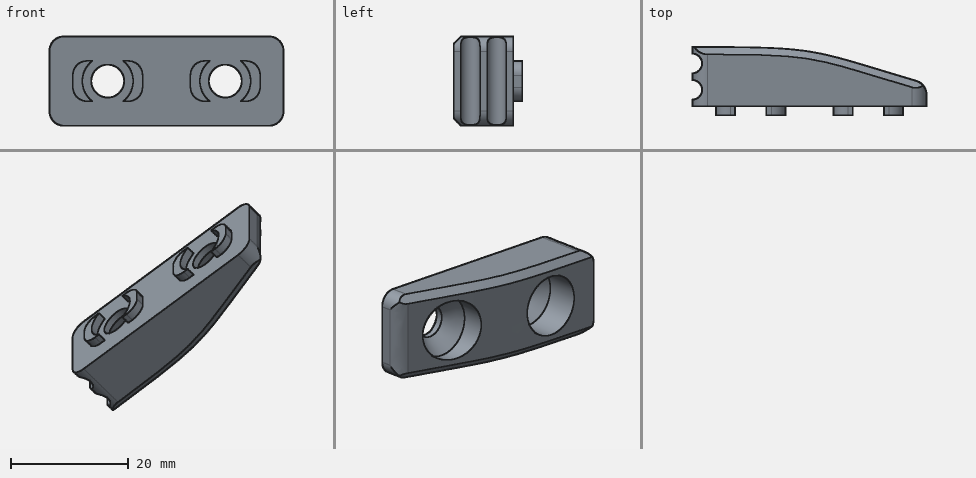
import cadquery as cq
import math

length = 39.88
width = 15.24
overall_depth = 11.68
butt_height = 10.16
corner_radius = 2.54
back_chamfer = 1.27
tip_radius = 2.54

tip_height = 3.85
butt_control = (22.5, 10.1)
tip_control = (19.35, 9.87)

groove_count = 2
groove_diameter = 3.3
groove_land = (butt_height - groove_count * groove_diameter) / (groove_count + 1)

screw_pitch = 20.0
bore_diameter = 5.56
head_diameter = 10.69
bore_depth = 1.27
countersink_angle = 82.0

lug_height = overall_depth - butt_height
lug_span = 11.85
lug_width = 6.86
lug_corner_radius = 2.4
lug_relief_diameter = 8.65

screw_positions = [(length / 2 + side * screw_pitch / 2, 0) for side in (-1, 1)]


def seat_plane(y):
    """Workplane at the given Y, with local axes along X and Z and its normal toward -Y."""
    return cq.Workplane("XZ", origin=(0, y, 0))


def make_wedge():
    butt_top = (0, butt_height)
    tip_top = (length, tip_height)
    wedge = (
        cq.Workplane("XY", origin=(0, 0, -width / 2))
        .lineTo(*butt_top)
        .bezier([butt_top, butt_control, tip_control, tip_top])
        .lineTo(length, 0)
        .close()
        .extrude(width)
    )
    back_edges = wedge.faces("<Z or >Z").edges("not(#X or #Y)")
    wedge = back_edges.chamfer(back_chamfer)
    tip_edge = cq.selectors.NearestToPointSelector((*tip_top, 0))
    return wedge.edges("|Z").edges(tip_edge).fillet(tip_radius)


def round_corners(body):
    outline = (
        seat_plane(0)
        .center(length / 2, 0)
        .rect(length, width)
        .extrude(-butt_height)
        .edges("|Y")
        .fillet(corner_radius)
    )
    return body.intersect(outline)


def cut_grooves(body):
    for index in range(groove_count):
        y = groove_land + groove_diameter / 2 + index * (groove_land + groove_diameter)
        groove = (
            cq.Workplane("XY", origin=(0, y, -width / 2))
            .circle(groove_diameter / 2)
            .extrude(width)
        )
        body = body.cut(groove)
    return body


def cut_screw_holes(body):
    """Stepped holes: a bore at the seat, a conical head seat, then head clearance out to the back."""
    bore_radius = bore_diameter / 2
    head_radius = head_diameter / 2
    cone_depth = (head_radius - bore_radius) / math.tan(math.radians(countersink_angle / 2))
    for x, z in screw_positions:
        cutter = (
            cq.Workplane("XY", origin=(x, 0, z))
            .lineTo(bore_radius, 0)
            .lineTo(bore_radius, bore_depth)
            .lineTo(head_radius, bore_depth + cone_depth)
            .lineTo(head_radius, butt_height)
            .lineTo(0, butt_height)
            .close()
            .revolve(360, (0, 0, 0), (0, 1, 0))
        )
        body = body.cut(cutter)
    return body


def add_lugs(body):
    blocks = (
        seat_plane(0)
        .pushPoints(screw_positions)
        .rect(lug_span, lug_width)
        .extrude(lug_height)
        .edges("|Y")
        .fillet(lug_corner_radius)
    )
    reliefs = (
        seat_plane(0)
        .pushPoints(screw_positions)
        .circle(lug_relief_diameter / 2)
        .extrude(lug_height)
    )
    return body.union(blocks.cut(reliefs))


body = round_corners(make_wedge())
body = cut_grooves(body)
body = cut_screw_holes(body)
result = add_lugs(body)